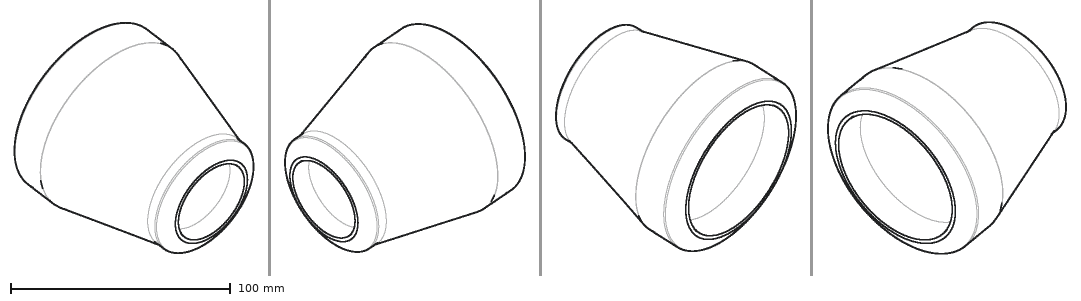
import cadquery as cq
import math

length = 90.0
large_outer_diameter = 88.9
small_outer_diameter = 60.3
large_mouth_diameter = 67.3
large_bore_diameter = 66.9
small_bore_diameter = 40.3

large_straight = 22.9
large_bore_depth = 14.9
small_straight = 10.0

land_width = 1.9
bevel_angle = 30.0

corner_radius = 0.8

large_outer_radius = large_outer_diameter / 2
small_outer_radius = small_outer_diameter / 2
large_mouth_radius = large_mouth_diameter / 2
large_bore_radius = large_bore_diameter / 2
small_bore_radius = small_bore_diameter / 2
large_land_radius = large_mouth_radius + land_width
small_land_radius = small_bore_radius + land_width
bevel_slope = math.tan(math.radians(bevel_angle))
large_bevel_length = (large_outer_radius - large_land_radius) * bevel_slope
small_bevel_length = (small_outer_radius - small_land_radius) * bevel_slope

section = [
    (0, large_mouth_radius),
    (0, large_land_radius),
    (large_bevel_length, large_outer_radius),
    (large_straight, large_outer_radius),
    (length - small_straight, small_outer_radius),
    (length - small_bevel_length, small_outer_radius),
    (length, small_land_radius),
    (length, small_bore_radius),
    (length - small_straight, small_bore_radius),
    (large_bore_depth, large_bore_radius),
]

reducer = cq.Workplane("XY").polyline(section).close().revolve(360, (0, 0, 0), (1, 0, 0))


def outer_edge(position, radius):
    """Selector for the circular edge of the given radius at a position along X."""
    margin = 0.045
    reach = radius + margin
    return cq.selectors.BoxSelector(
        (position - margin, -reach, -reach), (position + margin, reach, reach), boundingbox=True
    )


rounded_corners = [
    (large_bevel_length, large_outer_radius),
    (large_straight, large_outer_radius),
    (length - small_bevel_length, small_outer_radius),
]
for position, radius in rounded_corners:
    reducer = reducer.edges(outer_edge(position, radius)).fillet(corner_radius)

result = reducer